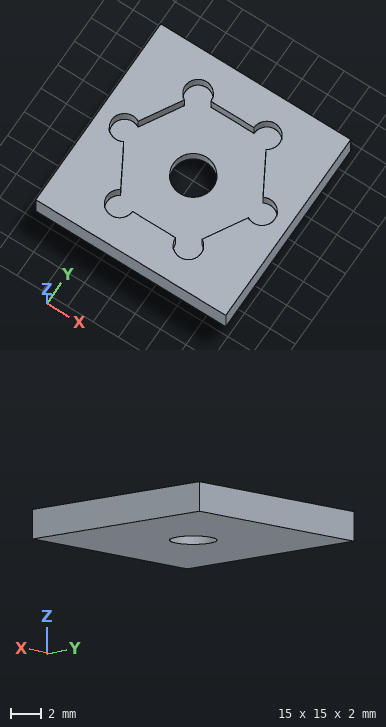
import cadquery as cq
import math

plate_side = 15.0
plate_thickness = 2.0

across_flats = 9.39
pocket_depth = 1.0
relief_diameter = 2.01
hex_sides = 6

hole_diameter = 3.1

across_corners = across_flats / math.cos(math.pi / hex_sides)
pocket_floor = plate_thickness - pocket_depth


def make_plate():
    return cq.Workplane("XY").rect(plate_side, plate_side).extrude(plate_thickness)


def make_pocket():
    """Hexagon with corners on the X axis and a round relief centred on each corner."""
    floor = cq.Workplane("XY").workplane(offset=pocket_floor)
    hexagon = floor.polygon(hex_sides, across_corners).extrude(pocket_depth)
    reliefs = (
        floor.polarArray(across_corners / 2, 0, 360, hex_sides)
        .circle(relief_diameter / 2)
        .extrude(pocket_depth)
    )
    return hexagon.union(reliefs)


def make_hole():
    return cq.Workplane("XY").circle(hole_diameter / 2).extrude(plate_thickness)


result = make_plate().cut(make_pocket()).cut(make_hole())